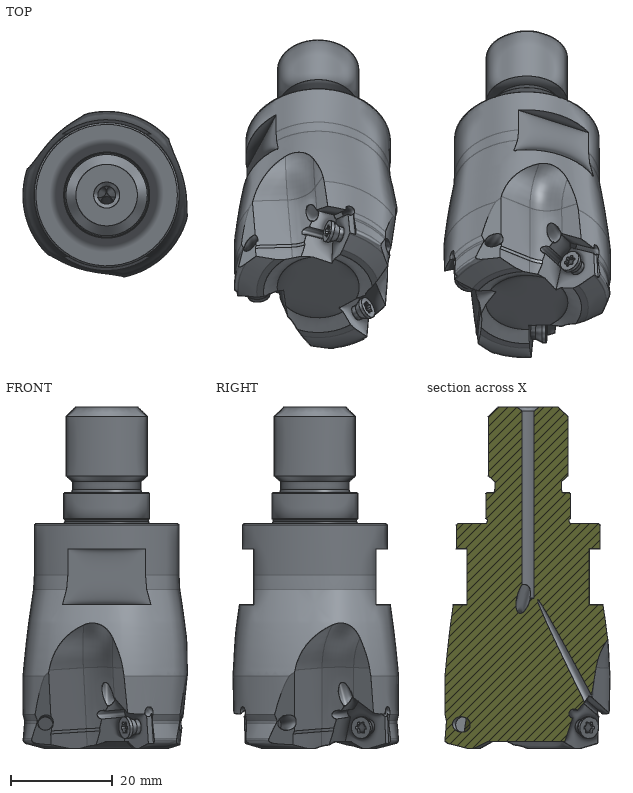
import cadquery as cq
import math

total_length = 67.2
stud_radius = 8.0
stud_tip_radius = 6.05
stud_chamfer_z = 65.3
stud_end_z = 53.6
neck_radius = 6.7
neck_top_z = 52.5
neck_bottom_z = 50.95
collar_radius = 8.5
collar_top_z = 50.3
collar_bottom_z = 45.2
undercut_radius = 8.2
undercut_chamfer = 0.4
shoulder_z = 44.3
shoulder_radius = 14.25
shoulder_chamfer = 0.35
collar_edge = 0.2
cylinder_end_z = 34.15
blend_end_z = 31.3
blend_end_radius = 14.4
waist_radius = 15.65
waist_z = 22.2
cutter_radius = 16.45
cutter_top_z = 14.25

groove_radius = 16.2
groove_top_z = 6.7
groove_bottom_z = 5.0
groove_taper = 1.2
tip_corner_z = 1.95
tip_corner_radius = 15.7
tip_corner_end_z = 0.95
tip_corner_bulge = 0.2
tip_land_outer_radius = 12.1
tip_land_inner_radius = 10.75
core_face_radius = 8.05
core_face_z = 1.35

flat_distance = 12.0
flat_top_z = 39.25
flat_bottom_z = 28.3

bore_radius = 1.75
bore_chamfer = 0.8
bore_bottom_z = 29.6
coolant_radius = 1.3
coolant_start_z = 32.9
coolant_azimuth = 272
coolant_angle = 27
coolant_length = 26.9

tooth_count = 3
flute_plane_z = 17.1
flute_turn = 9.2
flute_floor = 9.95
flute_corner_radius = 5.9
flute_wall_angle = 64
flute_arc_start_x = -6.25
flute_end_radius = 13.45
flute_up = (-0.05, -0.09, 1)
flute_reach = 20.15

step_z = -12.0
step_bevel = 0.6
step_depth = 0.2

relief_angle = 231
relief_distance = 16.25
relief_lean = 5.8
relief_width = 20.15

screw_azimuth = 30.8
screw_drop = 4.4
head_center = (3.5, -12.0, 4.1)
head_radius = 2.15
head_rim = 0.7
head_height = 2
shank_radius = 1.5
screw_length = 8.05
lobe_count = 6
socket_radius = 0.95
lobe_radius = 0.3
socket_depth = 0.95

seat_depth = 2.95
seat_tip = (3.9, 2.8)
seat_peak = (-0.95, 6.3)
seat_shoulder = (-3.6, 2.75)
seat_inner_lean = 16
pocket_size = 20.15
corner_relief_radius = 0.9
seat_relief_radius = 0.95
seat_relief_rise = 0.2
seat_relief_sink = 0.35
seat_land_inner = 3.8
seat_land_depth = 1.15

clear_size = 40.3

azimuth = math.radians(screw_azimuth)
drop = math.radians(screw_drop)
screw_axis = cq.Vector(
    -math.cos(drop) * math.cos(azimuth),
    -math.cos(drop) * math.sin(azimuth),
    -math.sin(drop),
)
seat_outward = cq.Vector(math.sin(azimuth), -math.cos(azimuth), 0)
head_plane = cq.Plane(origin=head_center, xDir=seat_outward, normal=screw_axis)


def place(shape, plane):
    return shape.newObject([shape.val().moved(cq.Location(plane))])


def around_axis(shape, index):
    return shape.rotate((0, 0, 0), (0, 0, 1), index * 360 / tooth_count)


def make_blank():
    """Turned outline of the whole cutter."""
    corner_middle = (
        (cutter_radius + tip_corner_radius) / 2 + tip_corner_bulge,
        (tip_corner_z + tip_corner_end_z) / 2 - tip_corner_bulge,
    )
    outline = (
        cq.Workplane("XZ")
        .moveTo(0, total_length)
        .lineTo(stud_tip_radius, total_length)
        .lineTo(stud_radius, stud_chamfer_z)
        .lineTo(stud_radius, stud_end_z)
        .lineTo(neck_radius, neck_top_z)
        .lineTo(neck_radius, neck_bottom_z)
        .lineTo(neck_radius + collar_edge, collar_top_z)
        .lineTo(collar_radius - collar_edge, collar_top_z)
        .lineTo(collar_radius, collar_top_z - collar_edge)
        .lineTo(collar_radius, collar_bottom_z)
        .lineTo(undercut_radius, collar_bottom_z - collar_edge)
        .lineTo(undercut_radius, shoulder_z + undercut_chamfer)
        .lineTo(undercut_radius + collar_edge, shoulder_z)
        .lineTo(shoulder_radius - shoulder_chamfer, shoulder_z)
        .lineTo(shoulder_radius, shoulder_z - shoulder_chamfer)
        .lineTo(shoulder_radius, cylinder_end_z)
        .lineTo(blend_end_radius, blend_end_z)
        .threePointArc((waist_radius, waist_z), (cutter_radius, cutter_top_z))
        .lineTo(cutter_radius, groove_top_z)
        .lineTo(groove_radius, groove_top_z - groove_taper)
        .lineTo(groove_radius, groove_bottom_z)
        .lineTo(cutter_radius, tip_corner_z)
        .threePointArc(corner_middle, (tip_corner_radius, tip_corner_end_z))
        .lineTo(tip_land_outer_radius, 0)
        .lineTo(tip_land_inner_radius, 0)
        .lineTo(core_face_radius, core_face_z)
        .lineTo(0, core_face_z)
        .close()
    )
    return outline.revolve(360, (0, 0, 0), (0, 1, 0))


def make_flat_cut(side):
    depth = cutter_radius
    height = flat_top_z - flat_bottom_z
    return cq.Workplane("XY").box(clear_size, depth, height).translate(
        (0, side * (flat_distance + depth / 2), (flat_top_z + flat_bottom_z) / 2)
    )


def make_bore():
    """Axial coolant bore with a countersunk mouth."""
    return (
        cq.Workplane("XZ")
        .moveTo(0, bore_bottom_z)
        .lineTo(bore_radius, bore_bottom_z)
        .lineTo(bore_radius, total_length - bore_chamfer)
        .lineTo(bore_radius + bore_chamfer, total_length)
        .lineTo(0, total_length)
        .close()
        .revolve(360, (0, 0, 0), (0, 1, 0))
    )


def make_coolant_hole():
    """Slanted hole from the bore down into a flute."""
    slant = math.radians(coolant_angle)
    turn = math.radians(coolant_azimuth)
    direction = cq.Vector(
        math.sin(slant) * math.cos(turn), math.sin(slant) * math.sin(turn), -math.cos(slant)
    )
    return cq.Workplane(
        cq.Solid.makeCylinder(coolant_radius, coolant_length, cq.Vector(0, 0, coolant_start_z), direction)
    )


def flute_section(inset):
    """Flat floor, round corner and straight rake wall, cut deeper into the body by inset."""
    turn = math.radians(flute_wall_angle)
    radius = flute_corner_radius + inset
    center_y = -flute_floor - flute_corner_radius
    arc_end = (
        flute_arc_start_x + radius * math.sin(turn),
        center_y + radius * math.cos(turn),
    )
    arc_middle = (
        flute_arc_start_x + radius * math.sin(turn / 2),
        center_y + radius * math.cos(turn / 2),
    )
    mouth_y = -flute_floor - flute_end_radius
    wall_end = (arc_end[0] + (arc_end[1] - mouth_y) / math.tan(turn), mouth_y)
    return (
        cq.Workplane("XY")
        .moveTo(-flute_reach, center_y + radius)
        .lineTo(flute_arc_start_x, center_y + radius)
        .threePointArc(arc_middle, arc_end)
        .lineTo(*wall_end)
        .lineTo(-flute_reach, mouth_y)
        .close()
    )


def make_flute():
    """Leaning channel with a rounded upper end and a slightly deeper lower stretch."""
    turn = math.radians(flute_turn)
    plane = cq.Plane(
        origin=(0, 0, flute_plane_z),
        xDir=(math.cos(turn), math.sin(turn), 0),
        normal=flute_up,
    )
    mouth_y = -flute_floor - flute_end_radius
    channel = flute_section(0).extrude(-clear_size)
    runout = flute_section(0).revolve(90, (0, mouth_y, 0), (1, mouth_y, 0))
    bevel_angle = math.degrees(math.atan2(step_depth, step_bevel))
    bevel = flute_section(0).extrude(-step_bevel, taper=-bevel_angle).translate((0, 0, step_z))
    step = flute_section(step_depth).extrude(-clear_size).translate((0, 0, step_z - step_bevel))
    return [place(stretch, plane) for stretch in (channel, runout, bevel, step)]


def make_relief_cut():
    """Leaning plane that trims the trailing edge of a tooth."""
    angle = math.radians(relief_angle)
    lean = math.radians(relief_lean)
    outward = (math.cos(angle), math.sin(angle))
    plane = cq.Plane(
        origin=(relief_distance * outward[0], relief_distance * outward[1], cutter_top_z),
        xDir=(-outward[1], outward[0], 0),
        normal=(outward[0] * math.cos(lean), outward[1] * math.cos(lean), -math.sin(lean)),
    )
    cut = cq.Workplane("XY").rect(relief_width, clear_size).extrude(cutter_radius)
    return place(cut, plane)


def make_pocket():
    """Recess for the tilted insert, its reliefs and the screw hole behind it."""
    seat = cq.Workplane("XY", origin=(0, 0, -seat_depth))
    upper_slope = (seat_peak[1] - seat_tip[1]) / (seat_tip[0] - seat_peak[0])
    outer_top = (seat_peak[0] + pocket_size, seat_peak[1] - pocket_size * upper_slope)
    lean_shift = pocket_size * math.tan(math.radians(seat_inner_lean))
    inner_bottom = (seat_shoulder[0] - lean_shift, seat_shoulder[1] - pocket_size)
    recess = seat.polyline([seat_shoulder, seat_peak, outer_top, inner_bottom]).close().extrude(pocket_size)
    corner_relief = seat.center(*seat_shoulder).circle(corner_relief_radius).extrude(pocket_size)
    relief_start = cq.Vector(seat_peak[0], seat_peak[1] + seat_relief_rise, -seat_depth - seat_relief_sink)
    seat_relief = cq.Workplane(
        cq.Solid.makeCylinder(
            seat_relief_radius, pocket_size, relief_start, cq.Vector(1, -upper_slope, 0)
        )
    )
    land = (
        seat.moveTo(seat_land_inner, seat_tip[1])
        .lineTo(pocket_size, seat_tip[1])
        .lineTo(pocket_size, -pocket_size)
        .lineTo(seat_land_inner, -pocket_size)
        .close()
        .extrude(-seat_land_depth)
    )
    screw_hole = cq.Workplane("XY").circle(shank_radius).extrude(-cutter_radius)
    return [place(cut, head_plane) for cut in (recess, corner_relief, seat_relief, land, screw_hole)]


def make_housing():
    body = make_blank().cut(make_bore())
    for side in (-1, 1):
        body = body.cut(make_flat_cut(side))
    for index in range(tooth_count):
        for cutter in (*make_flute(), make_relief_cut(), *make_pocket(), make_coolant_hole()):
            body = body.cut(around_axis(cutter, index))
    return body


def make_screw():
    """Countersunk insert screw with a six-lobed socket."""
    screw = (
        cq.Workplane("XZ")
        .lineTo(head_radius, 0)
        .lineTo(head_radius, -head_rim)
        .lineTo(shank_radius, -head_height)
        .lineTo(shank_radius, -screw_length)
        .lineTo(0, -screw_length)
        .close()
        .revolve(360, (0, 0, 0), (0, 1, 0))
    )
    socket = cq.Workplane("XY").circle(socket_radius).extrude(-socket_depth)
    lobes = (
        cq.Workplane("XY")
        .polarArray(socket_radius, 0, 360, lobe_count)
        .circle(lobe_radius)
        .extrude(-socket_depth)
    )
    return place(screw.cut(socket).cut(lobes), head_plane)


housing = make_housing()
screws = [around_axis(make_screw(), index) for index in range(tooth_count)]

result = cq.Compound.makeCompound(
    [housing.solids().val(), *[screw.solids().val() for screw in screws]]
)